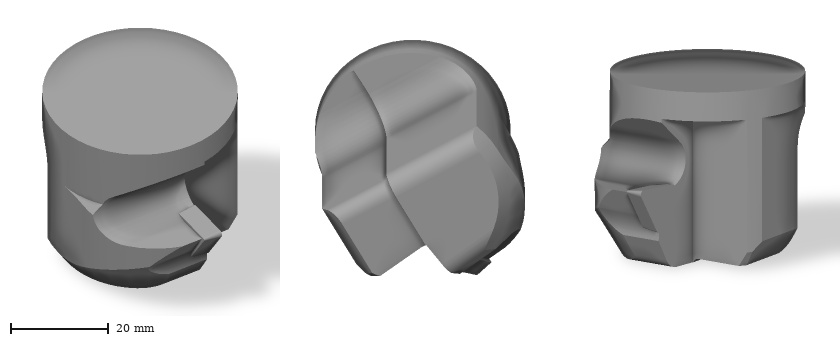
import cadquery as cq
import math

shank_radius = 20.0
total_height = 38.0
margin = 28.1

wing_shift = 6.0
wing_top_z = -14.65
wing_top_slope = 1.07

chamfer_z = -33.97
chamfer_slope = 1.65

neck_center_x = -14.7
neck_center_z = -15.15
front_neck_radius = 7.95
front_shoulder_angle = 5.0
front_corner_radius = 4.0
rear_neck_radius = 9.05
rear_bottom_lift = 0.9
rear_corner_radius = front_corner_radius - rear_bottom_lift
step_y = 2.35
step_fillet = 1.4

shoulder_z = neck_center_z + rear_neck_radius
rear_flat_y = 18.1
rear_chamfer_z = -32.0
rear_chamfer_width = 2.95
rear_chamfer_height = 5.15

rake_turn = 7.5
rake_offset = 3.55

gullet_center_u = 16.78
gullet_center_z = -15.95
gullet_radius = 5.0
gullet_top_angle = 130.0
gullet_low_angle = 233.8
gullet_floor_u = 18.95
gullet_floor_z = -21.4
gullet_floor_angle = 2.5
land_end_u = 25.1
land_end_z = gullet_floor_z + (land_end_u - gullet_floor_u) * math.tan(math.radians(gullet_floor_angle))

edge_angle = 60.0
notch_top = (22.05, -26.3)
notch_middle = (20.8, -29.05)
notch_low = (20.7, -31.55)

chip_space_u = 9.35

insert_side = 11.6
insert_thickness = 4.0
insert_point_angle = 55.0
insert_clearance = 7.0
insert_nose_radius = 0.8
insert_tip = (27.3, -19.95)
insert_top_direction = 182.5


def polar(center, radius, angle):
    """Point at a radius and an angle in degrees about a center."""
    turn = math.radians(angle)
    return (center[0] + radius * math.cos(turn), center[1] + radius * math.sin(turn))


def cutting_plane(offset):
    """Sketch plane in the cutting frame; extruding goes towards -Y."""
    turn = math.radians(rake_turn)
    normal = cq.Vector(-math.sin(turn), -math.cos(turn), 0)
    along = cq.Vector(math.cos(turn), -math.sin(turn), 0)
    return cq.Workplane(cq.Plane(origin=normal * -offset, xDir=along, normal=normal))


def make_blank():
    """Shank cylinder with the wing, whose top slopes down away from the shank."""
    shank = cq.Workplane("XY").circle(shank_radius).extrude(-total_height)
    wing = (
        cq.Workplane("XY").workplane(offset=wing_top_z)
        .moveTo(0, -shank_radius)
        .lineTo(wing_shift, -shank_radius)
        .threePointArc(polar((wing_shift, 0), shank_radius, -45), (wing_shift + shank_radius, 0))
        .lineTo(wing_shift + shank_radius, rake_offset)
        .lineTo(0, rake_offset)
        .close()
        .extrude(-total_height - wing_top_z)
    )
    top_slope = (
        cq.Workplane("XZ")
        .moveTo(shank_radius, wing_top_z)
        .lineTo(shank_radius + margin, wing_top_z)
        .lineTo(shank_radius + margin, wing_top_z - margin * wing_top_slope)
        .close()
        .revolve(360, (0, 0, 0), (0, 1, 0))
    )
    return shank.union(wing.cut(top_slope))


def bottom_chamfer():
    """Ring outside the chamfer cone."""
    low_radius = shank_radius - (total_height + chamfer_z) / chamfer_slope
    high_radius = shank_radius + margin
    return (
        cq.Workplane("XZ")
        .moveTo(low_radius, -total_height)
        .lineTo(high_radius, -total_height)
        .lineTo(high_radius, chamfer_z + margin * chamfer_slope)
        .close()
        .revolve(360, (0, 0, 0), (0, 1, 0))
    )


def side_relief(start_y, length, neck_radius, shoulder_angle, bottom_z, corner_radius):
    """Space left of and below the body, extruded towards +Y (negative length: towards -Y)."""
    center = (neck_center_x, neck_center_z)
    face_x = neck_center_x + neck_radius
    neck_start = polar(center, neck_radius, 90 - shoulder_angle)
    far_x = -margin
    far_z = neck_start[1] + (neck_start[0] - far_x) * math.tan(math.radians(shoulder_angle))
    corner_center = (face_x + corner_radius, bottom_z + corner_radius)
    return (
        cq.Workplane("XZ", origin=(0, start_y, 0))
        .moveTo(far_x, far_z)
        .lineTo(*neck_start)
        .threePointArc(polar(center, neck_radius, 45), (face_x, neck_center_z))
        .lineTo(face_x, corner_center[1])
        .threePointArc(polar(corner_center, corner_radius, 225), (corner_center[0], bottom_z))
        .lineTo(2 * margin, bottom_z)
        .lineTo(2 * margin, -total_height - margin)
        .lineTo(far_x, -total_height - margin)
        .close()
        .extrude(-length)
    )


def front_relief():
    return side_relief(
        margin, -2 * margin, front_neck_radius, front_shoulder_angle, -total_height, front_corner_radius
    )


def rear_relief():
    """Deeper relief behind the step, with a rounded step."""
    relief = side_relief(
        step_y, margin, rear_neck_radius, 0, -total_height + rear_bottom_lift, rear_corner_radius
    )
    return relief.faces("<Y").edges().fillet(step_fillet)


def rear_flat():
    """Flat under the shank's shoulder, with its bottom chamfer."""
    low_z = rear_chamfer_z - rear_chamfer_height
    low_y = rear_flat_y - rear_chamfer_width
    outline = [
        (rear_flat_y, shoulder_z),
        (rear_flat_y, rear_chamfer_z),
        (low_y, low_z),
        (low_y, -total_height),
        (margin, -total_height),
        (margin, shoulder_z),
    ]
    return cq.Workplane("YZ").polyline(outline).close().extrude(margin, both=True)


def gullet_and_edge():
    """Space to the right of the body: gullet, insert land, notch and rounded lower corner."""
    center = (gullet_center_u, gullet_center_z)
    wall_top = polar(center, gullet_radius, gullet_top_angle)
    wall_low = polar(center, gullet_radius, gullet_low_angle)
    mouth_u = 2 * margin
    mouth_rise = (mouth_u - wall_top[0]) * math.tan(math.radians(gullet_top_angle - 90))
    corner_u = notch_low[0] - (total_height + notch_low[1]) / math.tan(math.radians(edge_angle))
    corner = (corner_u, -total_height)
    setback = front_corner_radius * math.tan(math.radians(edge_angle / 2))
    return (
        cutting_plane(2 * margin)
        .moveTo(mouth_u, wall_top[1] + mouth_rise)
        .lineTo(*wall_top)
        .threePointArc(polar(center, gullet_radius, 180), wall_low)
        .tangentArcPoint((gullet_floor_u, gullet_floor_z), relative=False)
        .lineTo(land_end_u, land_end_z)
        .lineTo(*notch_top)
        .threePointArc(notch_middle, notch_low)
        .lineTo(*polar(corner, setback, edge_angle))
        .tangentArcPoint((corner_u - setback, -total_height), relative=False)
        .lineTo(corner_u - setback, -total_height - margin)
        .lineTo(mouth_u, -total_height - margin)
        .close()
        .extrude(4 * margin)
    )


def chip_space():
    """Open space behind the rake face, below the shoulder."""
    return (
        cutting_plane(rake_offset)
        .moveTo(chip_space_u, shoulder_z)
        .lineTo(2 * margin, shoulder_z)
        .lineTo(2 * margin, -total_height)
        .lineTo(chip_space_u, -total_height)
        .close()
        .extrude(-2 * margin)
    )


def make_insert():
    """Rhombic plate, largest at the rake face, with rounded corners."""
    upper = polar(insert_tip, insert_side, insert_top_direction)
    lower = polar(insert_tip, insert_side, insert_top_direction + insert_point_angle)
    inner = (upper[0] + lower[0] - insert_tip[0], upper[1] + lower[1] - insert_tip[1])
    outline = (
        cq.Sketch()
        .polygon([insert_tip, upper, inner, lower, insert_tip])
        .vertices()
        .fillet(insert_nose_radius)
    )
    return cutting_plane(rake_offset).placeSketch(outline).extrude(insert_thickness, taper=insert_clearance)


def make_holder(insert):
    """Tool body with a seat that matches the insert."""
    holder = make_blank()
    for space in (
        bottom_chamfer(), front_relief(), rear_relief(), rear_flat(), gullet_and_edge(), chip_space(), insert
    ):
        holder = holder.cut(space)
    return holder


insert = make_insert()
holder = make_holder(insert)
result = cq.Compound.makeCompound([holder.solids().val(), insert.solids().val()])